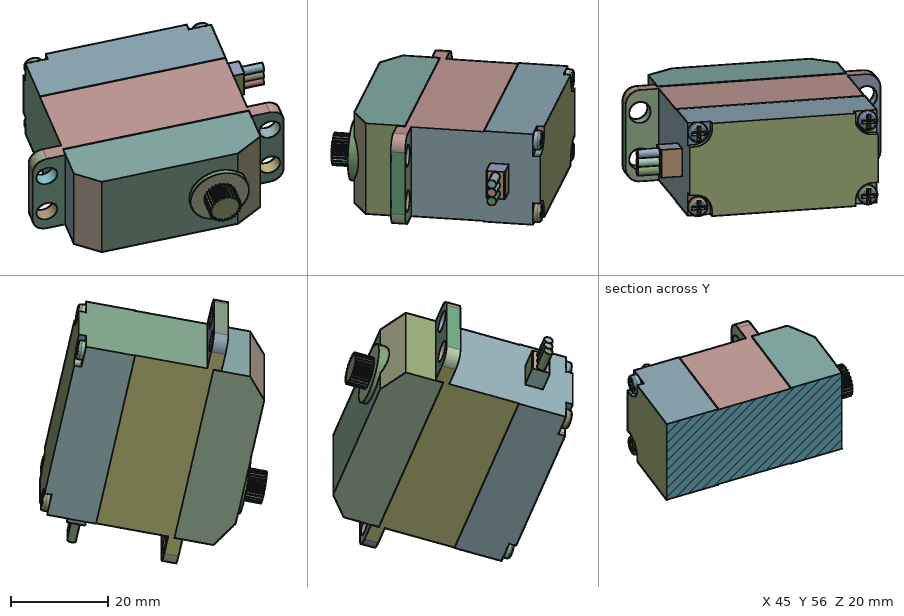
import cadquery as cq
import math

CASE_DEPTH = 40.0
CASE_LENGTH = 40.0
CASE_THICKNESS = 20.0
REAR_COVER_DEPTH = 11.8
FRONT_COVER_START = 28.3
MIDDLE_INSET = 0.15
SHAFT_SIDE_CHAMFER = (3.5, 5.9)
FAR_SIDE_CHAMFER = (4.0, 4.8)

FLANGE_START = 27.0
FLANGE_PLATE = 3.0
FLANGE_LENGTH = 54.0
FLANGE_CORNER_RADIUS = 3.0
MOUNT_HOLE_DIAMETER = 4.5
MOUNT_HOLE_SPACING_Y = 48.0
MOUNT_HOLE_SPACING_Z = 10.0

SHAFT_Y = 9.9
BOSS_DIAMETER = 12.55
BOSS_HEIGHT = 1.0
SPLINE_TEETH = 25
SPLINE_TIP_RADIUS = 3.4
SPLINE_ROOT_RADIUS = 3.0
SPLINE_TIP_SHARE = 0.2
SPLINE_ROOT_SHARE = 0.2
SPLINE_LENGTH = 4.0

POCKET_SIZE = 4.8
POCKET_DEPTH = 1.5
POCKET_RADIUS = 3.7
SCREW_INSET = 2.0
SCREW_HEAD_RADIUS = 2.0
SCREW_HEAD_FILLET = 0.65
CROSS_LENGTH = 3.1
CROSS_WIDTH = 0.8
CROSS_FLOOR_LENGTH = 2.4
CROSS_FLOOR_WIDTH = 0.3
CROSS_DEPTH = 0.8

CABLE_X = 8.5
CABLE_BLOCK_DEPTH = 3.9
CABLE_BLOCK_LENGTH = 4.5
CABLE_BLOCK_HEIGHT = 6.0
CABLE_BLOCK_CHAMFER = 0.2
WIRE_COUNT = 3
WIRE_DIAMETER = 1.87
WIRE_LENGTH = 4.5
WIRE_ROOT = 0.5

HALF_LENGTH = CASE_LENGTH / 2
HALF_THICKNESS = CASE_THICKNESS / 2
MIDDLE_THICKNESS = CASE_THICKNESS - 2 * MIDDLE_INSET


def slab(x_start, x_size, y_size, z_size):
    """Block centred on Y and Z that starts at x_start."""
    return cq.Workplane("YZ", origin=(x_start, 0, 0)).rect(y_size, z_size).extrude(x_size)


def make_case():
    rear_cover = slab(0, REAR_COVER_DEPTH, CASE_LENGTH, CASE_THICKNESS)
    middle_depth = FRONT_COVER_START - REAR_COVER_DEPTH
    middle = slab(REAR_COVER_DEPTH, middle_depth, CASE_LENGTH, MIDDLE_THICKNESS)
    return rear_cover.union(middle).union(make_front_cover())


def make_front_cover():
    shaft_dx, shaft_dy = SHAFT_SIDE_CHAMFER
    far_dx, far_dy = FAR_SIDE_CHAMFER
    outline = [
        (FRONT_COVER_START, -HALF_LENGTH),
        (CASE_DEPTH - far_dx, -HALF_LENGTH),
        (CASE_DEPTH, far_dy - HALF_LENGTH),
        (CASE_DEPTH, HALF_LENGTH - shaft_dy),
        (CASE_DEPTH - shaft_dx, HALF_LENGTH),
        (FRONT_COVER_START, HALF_LENGTH),
    ]
    return cq.Workplane("XY").polyline(outline).close().extrude(HALF_THICKNESS, both=True)


def make_flange():
    plate = slab(FLANGE_START, FLANGE_PLATE, FLANGE_LENGTH, MIDDLE_THICKNESS)
    plate = plate.edges("|X").fillet(FLANGE_CORNER_RADIUS)
    return (
        plate.faces(">X").workplane(origin=(0, 0, 0))
        .rect(MOUNT_HOLE_SPACING_Y, MOUNT_HOLE_SPACING_Z, forConstruction=True)
        .vertices().hole(MOUNT_HOLE_DIAMETER)
    )


def make_output():
    """Round boss rooted in the case behind the sloped corner, with the splined shaft on it."""
    boss_root = CASE_DEPTH - SHAFT_SIDE_CHAMFER[0]
    boss_end = CASE_DEPTH + BOSS_HEIGHT
    boss = (
        cq.Workplane("YZ", origin=(boss_root, SHAFT_Y, 0))
        .circle(BOSS_DIAMETER / 2).extrude(boss_end - boss_root)
    )
    tooth_pitch = 2 * math.pi / SPLINE_TEETH
    half_tip = SPLINE_TIP_SHARE * tooth_pitch / 2
    half_base = (1 - SPLINE_ROOT_SHARE) * tooth_pitch / 2
    tooth_profile = [
        (SPLINE_ROOT_RADIUS, -half_base),
        (SPLINE_TIP_RADIUS, -half_tip),
        (SPLINE_TIP_RADIUS, half_tip),
        (SPLINE_ROOT_RADIUS, half_base),
    ]
    spline_points = []
    for tooth in range(SPLINE_TEETH):
        tooth_angle = math.pi / 2 + tooth * tooth_pitch
        for radius, offset in tooth_profile:
            angle = tooth_angle + offset
            spline_points.append((radius * math.cos(angle), radius * math.sin(angle)))
    spline = (
        cq.Workplane("YZ", origin=(boss_end, SHAFT_Y, 0))
        .polyline(spline_points).close().extrude(SPLINE_LENGTH)
    )
    return boss.union(spline)


def make_pocket():
    """Corner pocket for the +Y +Z corner, open to both sides."""
    inner_y = HALF_LENGTH - POCKET_SIZE
    inner_z = HALF_THICKNESS - POCKET_SIZE
    block = cq.Workplane("XY").box(POCKET_DEPTH, POCKET_SIZE, POCKET_SIZE, centered=False)
    block = block.edges("|X and <Y and <Z").fillet(POCKET_RADIUS)
    return block.translate((0, inner_y, inner_z))


def make_cross_arm(y_size, z_size, floor_y, floor_z):
    """Tapered slot, wide at the screw face and narrow at its floor."""
    return (
        cq.Workplane("YZ").rect(y_size, z_size)
        .workplane(offset=CROSS_DEPTH).rect(floor_y, floor_z).loft(ruled=True)
    )


def make_screw():
    """Screw head standing in the +Y +Z corner pocket."""
    head = cq.Workplane("YZ").circle(SCREW_HEAD_RADIUS).extrude(POCKET_DEPTH)
    head = head.faces("<X").edges().fillet(SCREW_HEAD_FILLET)
    head = head.cut(make_cross_arm(CROSS_LENGTH, CROSS_WIDTH, CROSS_FLOOR_LENGTH, CROSS_FLOOR_WIDTH))
    head = head.cut(make_cross_arm(CROSS_WIDTH, CROSS_LENGTH, CROSS_FLOOR_WIDTH, CROSS_FLOOR_LENGTH))
    return head.translate((0, HALF_LENGTH - SCREW_INSET, HALF_THICKNESS - SCREW_INSET))


def at_four_corners(shape):
    """The shape together with its mirror images in the other three corners."""
    pair = shape.union(shape.mirror("XZ"))
    return pair.union(pair.mirror("XY"))


def make_cable():
    block_end = HALF_LENGTH + CABLE_BLOCK_LENGTH
    cable = (
        cq.Workplane("XY")
        .box(CABLE_BLOCK_DEPTH, CABLE_BLOCK_LENGTH, CABLE_BLOCK_HEIGHT, centered=(True, False, True))
        .edges("|Z and >Y").chamfer(CABLE_BLOCK_CHAMFER)
        .translate((CABLE_X, HALF_LENGTH, 0))
    )
    for index in range(WIRE_COUNT):
        wire_z = (index - (WIRE_COUNT - 1) / 2) * WIRE_DIAMETER
        wire = (
            cq.Workplane("XZ", origin=(CABLE_X, block_end + WIRE_LENGTH, wire_z))
            .circle(WIRE_DIAMETER / 2).extrude(WIRE_LENGTH + WIRE_ROOT)
        )
        cable = cable.union(wire)
    return cable


servo = make_case().union(make_flange()).union(make_output())
servo = servo.cut(at_four_corners(make_pocket()))
servo = servo.union(at_four_corners(make_screw()))
result = servo.union(make_cable())